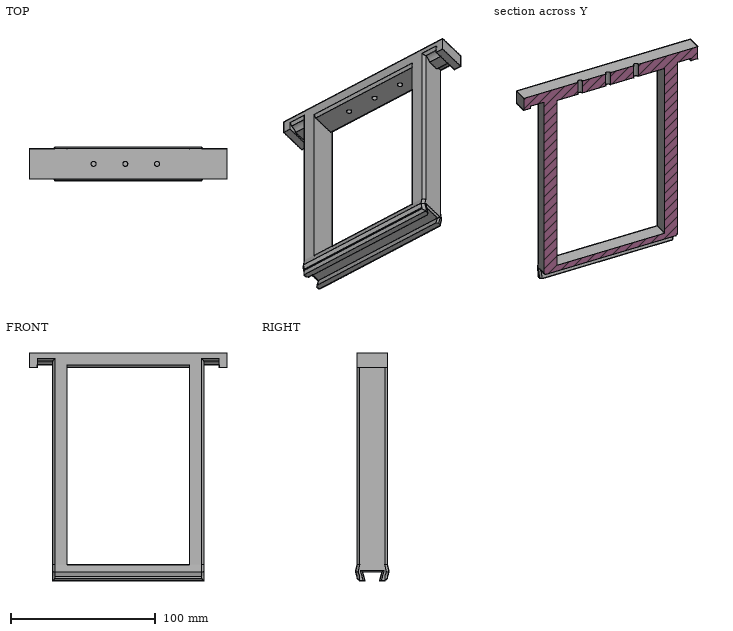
import cadquery as cq
import math

height = 157.5
beam_length = 136.5
depth = 21.1
half_depth = depth / 2
bevel = 1.9

hook_thickness = 5.5
hook_height = 10.2
arm_thickness = 4.0
cove_radius = 5.2
cove_sweep = math.radians(60)

frame_width = 104.7
post_width = 10.2
window_width = frame_width - 2 * post_width
window_floor = 11.3
beam_thickness = 8.3
window_top = height - beam_thickness

clip_depth = 23.3
ridge_height = 6.3
groove_height = 3.0
channel_height = 6.1
channel_top_half = 6.6
channel_mouth_half = 4.9
channel_bevel = 1.3

hole_diameter = 3.5
hole_spacing = 21.9
middle_hole_x = -2.0


def prism_along_x(outline, length):
    return outline.close().extrude(length / 2, both=True)


def yz_polyline(points):
    return cq.Workplane("YZ").polyline(points)


def make_beam():
    beam = cq.Workplane("XY").box(beam_length, depth, hook_height)
    beam = beam.translate((0, 0, height - hook_height / 2))

    hook_bottom = height - hook_height
    arm_bottom = height - arm_thickness
    cove_top = arm_bottom - bevel
    cove_bottom = cove_top - cove_radius * (1 - math.cos(cove_sweep))
    cove_start = half_depth - bevel
    cove_end = cove_start - cove_radius * math.sin(cove_sweep)
    cove_mid_y = cove_start - cove_radius * math.sin(cove_sweep / 2)
    cove_mid_z = cove_top - cove_radius * (1 - math.cos(cove_sweep / 2))
    slot_outline = (
        cq.Workplane("YZ")
        .moveTo(-half_depth, hook_bottom)
        .lineTo(-half_depth, arm_bottom)
        .lineTo(-cove_start, cove_top)
        .threePointArc((-cove_mid_y, cove_mid_z), (-cove_end, cove_bottom))
        .lineTo(cove_end, cove_bottom)
        .threePointArc((cove_mid_y, cove_mid_z), (cove_start, cove_top))
        .lineTo(half_depth, arm_bottom)
        .lineTo(half_depth, hook_bottom)
    )
    return beam.cut(prism_along_x(slot_outline, beam_length - 2 * hook_thickness))


def make_frame_block():
    bottom = window_floor
    block_height = height - arm_thickness - bottom
    block = cq.Workplane("XY").box(frame_width, depth, block_height)
    return block.edges("|Z").chamfer(bevel).translate((0, 0, bottom + block_height / 2))


def make_window():
    outline = yz_polyline(
        [
            (-half_depth, window_floor),
            (-half_depth, window_top),
            (bevel - half_depth, window_top - bevel),
            (half_depth - bevel, window_top - bevel),
            (half_depth, window_top),
            (half_depth, window_floor),
        ]
    )
    return prism_along_x(outline, window_width)


def make_clip():
    ridge_half = clip_depth / 2
    half_profile = [
        (half_depth, window_floor),
        (ridge_half, ridge_height),
        (half_depth, groove_height),
        (half_depth, 0),
    ]
    mirrored = [(-y, z) for y, z in reversed(half_profile)]
    clip = prism_along_x(yz_polyline(half_profile + mirrored), frame_width)
    clip = clip.faces("<X or >X").edges("not |Y").chamfer(bevel)

    for side in (-1, 1):
        corner = yz_polyline(
            [
                (side * half_depth, 0),
                (side * half_depth, bevel),
                (side * (half_depth - bevel), 0),
            ]
        )
        clip = clip.cut(prism_along_x(corner, frame_width))

    channel = prism_along_x(
        yz_polyline(
            [
                (-channel_mouth_half, 0),
                (-channel_top_half, channel_height),
                (channel_top_half, channel_height),
                (channel_mouth_half, 0),
            ]
        ),
        frame_width,
    )
    margin = 0.2
    rim_half = channel_top_half + margin
    rim_zone = cq.selectors.BoxSelector(
        (-frame_width, -rim_half, -margin),
        (frame_width, rim_half, channel_height + margin),
        boundingbox=True,
    )
    return clip.cut(channel).edges(rim_zone).edges("not |X").chamfer(channel_bevel)


def make_holes():
    hole_centres = [(middle_hole_x + i * hole_spacing, 0) for i in (-1, 0, 1)]
    return (
        cq.Workplane("XY", origin=(0, 0, height))
        .pushPoints(hole_centres)
        .circle(hole_diameter / 2)
        .extrude(window_top - bevel - height)
    )


frame = make_beam().union(make_frame_block()).cut(make_window())
result = frame.union(make_clip()).cut(make_holes())